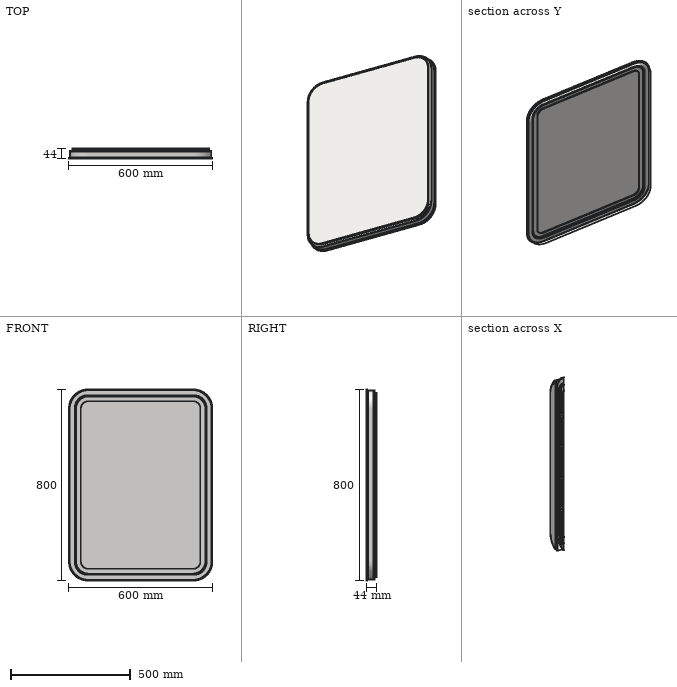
import cadquery as cq


WIDTH = 600.0
HEIGHT = 800.0
CORNER_RADIUS = 80.0
GLASS_THICKNESS = 4.02
BAND_INSET = 30.0
BAND_WIDTH = 20.0

HOUSING_INSET = 4.0
HOUSING_DEPTH = 30.0
WALL = 0.8
LIP_THICKNESS = 3.0
LIP_WIDTH = 20.0
FLOOR_THICKNESS = 3.0
FLOOR_STEP_HEIGHT = 2.5
FLOOR_STEP_WIDTH = 0.7

REAR_INSET = 14.0
REAR_PLATE_THICKNESS = 5.0
REAR_PLATE_COUNT = 2

housing_front = GLASS_THICKNESS
housing_back = housing_front + HOUSING_DEPTH
lip_back = housing_front + LIP_THICKNESS
floor_face = housing_back - FLOOR_THICKNESS
floor_step_front = floor_face - FLOOR_STEP_HEIGHT


def rounded_plate(inset, y_front, y_back):
    """Plate from y_front to y_back whose outline lies `inset` inside the glass outline."""
    return (
        cq.Workplane("XZ", origin=(0, y_front, 0))
        .rect(WIDTH - 2 * inset, HEIGHT - 2 * inset)
        .extrude(y_front - y_back)
        .edges("|Y")
        .fillet(CORNER_RADIUS - inset)
    )


def rounded_ring(outer_inset, inner_inset, y_front, y_back):
    """Frame of even width between two concentric outlines."""
    outer = rounded_plate(outer_inset, y_front, y_back)
    return outer.cut(rounded_plate(inner_inset, y_front, y_back))


def make_outer_mirror():
    return rounded_ring(0, BAND_INSET, 0, GLASS_THICKNESS)


def make_light_band():
    return rounded_ring(BAND_INSET, BAND_INSET + BAND_WIDTH, 0, GLASS_THICKNESS)


def make_center_mirror():
    return rounded_plate(BAND_INSET + BAND_WIDTH, 0, GLASS_THICKNESS)


def make_housing():
    """Thin-walled tray with a front lip, a closed back and a step around its floor."""
    wall_inset = HOUSING_INSET + WALL
    block = rounded_plate(HOUSING_INSET, housing_front, housing_back)
    lip_opening = rounded_plate(HOUSING_INSET + LIP_WIDTH, housing_front, lip_back)
    cavity = rounded_plate(wall_inset, lip_back, floor_step_front)
    floor_pocket = rounded_plate(wall_inset + FLOOR_STEP_WIDTH, floor_step_front, floor_face)
    return block.cut(lip_opening).cut(cavity).cut(floor_pocket)


def make_rear_plate(index):
    y_front = housing_back + index * REAR_PLATE_THICKNESS
    return rounded_plate(REAR_INSET, y_front, y_front + REAR_PLATE_THICKNESS)


outer_mirror = make_outer_mirror()
light_band = make_light_band()
center_mirror = make_center_mirror()
housing = make_housing()
rear_plates = [make_rear_plate(index) for index in range(REAR_PLATE_COUNT)]

result = cq.Compound.makeCompound(
    [
        outer_mirror.val(),
        light_band.val(),
        center_mirror.val(),
        housing.val(),
        *[plate.val() for plate in rear_plates],
    ]
)